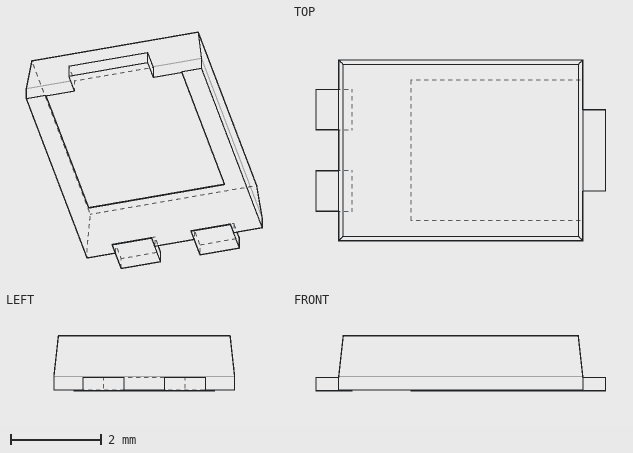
import cadquery as cq

overall_length = 6.4
overall_height = 1.22

body_length = 5.4
body_width = 4.0
standoff = 0.02
base_height = 0.3
cap_inset = 0.1

terminal_thickness = 0.3
lead_length = 0.8
lead_width = 0.9
lead_pitch = 1.8
tab_width = 1.8
pad_length = 3.8
pad_width = 3.1

overall_half = overall_length / 2
body_half = body_length / 2
base_top = standoff + base_height
cap_height = overall_height - base_top


def make_body():
    """Straight base with a cap whose four sides lean inwards."""
    base = (
        cq.Workplane("XY")
        .workplane(offset=standoff)
        .rect(body_length, body_width)
        .extrude(base_height)
    )
    cap = (
        cq.Workplane("XY")
        .workplane(offset=base_top)
        .rect(body_length, body_width)
        .workplane(offset=cap_height)
        .rect(body_length - 2 * cap_inset, body_width - 2 * cap_inset)
        .loft(ruled=True)
    )
    return base.union(cap)


def make_terminal(x_start, x_end, y_centre, width):
    """Flat terminal block standing on Z = 0."""
    return (
        cq.Workplane("XY")
        .center((x_start + x_end) / 2, y_centre)
        .rect(x_end - x_start, width)
        .extrude(terminal_thickness)
    )


def make_leads():
    """Pair of leads on the -X side, running a short way under the body."""
    lead_start = -overall_half
    lead_end = lead_start + lead_length
    front_lead = make_terminal(lead_start, lead_end, -lead_pitch / 2, lead_width)
    return front_lead.union(front_lead.mirror("XZ"))


def make_thermal_pad():
    """Wide pad exposed under the body, with a narrower tab leaving on the +X side."""
    pad_start = body_half - pad_length
    pad = make_terminal(pad_start, body_half, 0, pad_width)
    tab = make_terminal(pad_start, overall_half, 0, tab_width)
    return pad.union(tab)


result = make_body().union(make_thermal_pad()).union(make_leads())